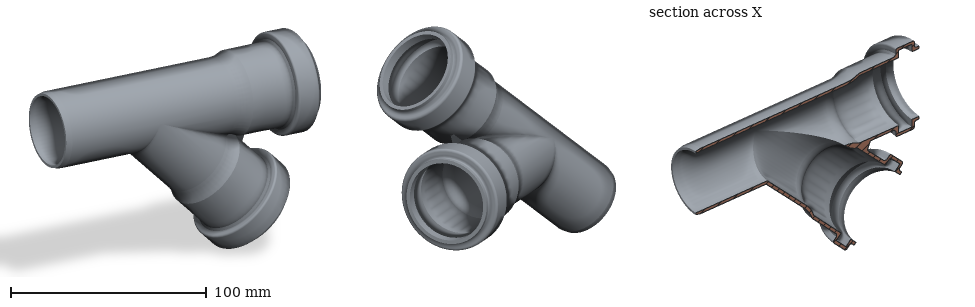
import cadquery as cq
import math

branch_angle = 45.0
socket_reach = 93.0
spigot_reach = 55.0

pipe_diameter = 40.2
bore_diameter = 36.2
spigot_chamfer_length = 3.2
spigot_chamfer_depth = 0.7

socket_diameter = 44.6
socket_bore_diameter = 40.8
socket_draft = 0.3
socket_depth = 39.8
taper_end_depth = 48.3
lip_diameter = socket_diameter + socket_draft
lip_bore_diameter = socket_bore_diameter + socket_draft
lip_length = 1.9

ring_diameter = 54.1
ring_groove_diameter = 50.3
ring_start_depth = 3.1
ring_end_depth = 15.6
ring_front_radius = 1.3
ring_back_radius = 1.0
ring_wall = (ring_diameter - ring_groove_diameter) / 2
lip_fillet = ring_start_depth - lip_length
neck_bevel = 1.1

valley_fillet_radius = 1.0
valley_fillet_start = 12.0
flat_tolerance = 0.01

web_thickness = 2.0
web_reach = 64.7


def revolve_about_y(profile):
    """Close a half profile, drawn in the YZ plane above the axis, and spin it about Y."""
    return profile.close().revolve(360, (0, 0), (1, 0))


def swing_down(shape, angle):
    """Turn a shape about X so that its +Y end drops toward -Z."""
    return shape.rotate((0, 0, 0), (1, 0, 0), -angle)


def arm_start(radius, start, socket_radius):
    """Half profile from the axis at start, along the pipe and over the flare to the socket."""
    return (
        cq.Workplane("YZ")
        .moveTo(start, 0)
        .lineTo(start, radius)
        .lineTo(socket_reach - taper_end_depth, radius)
        .tangentArcPoint((socket_reach - socket_depth, socket_radius), relative=False)
    )


def arm_outside(start):
    """Outer body of a pipe running along +Y from start to a socket mouth."""
    lip_radius = lip_diameter / 2
    ring_radius = ring_diameter / 2
    ring_start = socket_reach - ring_start_depth
    ring_end = socket_reach - ring_end_depth
    body = revolve_about_y(
        arm_start(pipe_diameter / 2, start, socket_diameter / 2)
        .lineTo(ring_end - neck_bevel, lip_radius)
        .lineTo(ring_end, lip_radius + neck_bevel)
        .lineTo(ring_start, lip_radius + lip_fillet)
        .radiusArc((socket_reach - lip_length, lip_radius), -lip_fillet)
        .lineTo(socket_reach, lip_radius)
        .lineTo(socket_reach, 0)
    )
    ring = (
        cq.Workplane("XZ", origin=(0, ring_start, 0))
        .circle(ring_radius)
        .extrude(ring_start - ring_end)
        .faces(">Y").edges().fillet(ring_front_radius)
        .faces("<Y").edges().fillet(ring_back_radius)
    )
    return body.union(ring)


def arm_inside(start):
    """Bore of a pipe and its socket, with the seal groove, along +Y from start."""
    lip_radius = lip_bore_diameter / 2
    groove_radius = ring_groove_diameter / 2
    groove_start = socket_reach - ring_start_depth - ring_wall
    groove_end = socket_reach - ring_end_depth + ring_wall
    return revolve_about_y(
        arm_start(bore_diameter / 2, start, socket_bore_diameter / 2)
        .lineTo(groove_end, lip_radius)
        .lineTo(groove_end, groove_radius)
        .lineTo(groove_start, groove_radius)
        .lineTo(groove_start, lip_radius)
        .lineTo(socket_reach, lip_radius)
        .lineTo(socket_reach, 0)
    )


def spigot_chamfer():
    """Ring of material removed to give the plain end a lead-in."""
    pipe_radius = pipe_diameter / 2
    return revolve_about_y(
        cq.Workplane("YZ")
        .moveTo(-spigot_reach, pipe_radius)
        .lineTo(spigot_chamfer_length - spigot_reach, pipe_radius)
        .lineTo(-spigot_reach, pipe_radius - spigot_chamfer_depth)
    )


def crotch_web():
    """Thin triangular plate on the bisector, cut square to it at the free edge."""
    half_spread = web_reach * math.tan(math.radians(branch_angle / 2))
    web = (
        cq.Workplane("YZ")
        .lineTo(web_reach, half_spread)
        .lineTo(web_reach, -half_spread)
        .close()
        .extrude(web_thickness / 2, both=True)
    )
    return swing_down(web, branch_angle / 2)


def valley_fillet():
    """Plain pipes of run and branch beyond the fillet start, with their valley filleted."""
    socket_start = socket_reach - socket_depth
    block_size = 2 * socket_reach
    block = (
        cq.Workplane("XY")
        .box(block_size, block_size, block_size)
        .translate((0, valley_fillet_start + block_size / 2, 0))
    )
    pipe = cq.Workplane("XZ").circle(pipe_diameter / 2).extrude(-socket_start)
    crotch = (
        swing_down(pipe, -branch_angle / 2)
        .union(swing_down(pipe, branch_angle / 2))
        .intersect(block)
    )
    valley = [edge for edge in crotch.edges().vals() if edge.BoundingBox().zlen < flat_tolerance]
    filleted = crotch.newObject(valley).fillet(valley_fillet_radius)
    return swing_down(filleted, branch_angle / 2)


def join(arm):
    """Run and branch of the same section, crossing at the origin."""
    return arm(-spigot_reach).union(swing_down(arm(0), branch_angle))


outside = (
    join(arm_outside)
    .union(valley_fillet())
    .union(crotch_web())
    .cut(spigot_chamfer())
)
result = outside.cut(join(arm_inside))